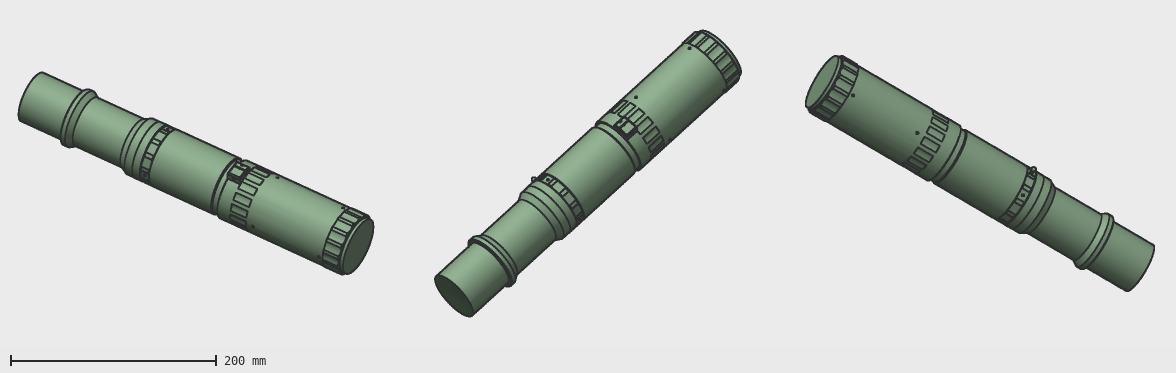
import cadquery as cq
import math

length = 369.5
tube_radius = 26.05
flange_radius = 30.0
shoulder_radius = 29.0
body_radius = 30.1
collar_radius = 29.0
barrel_radius = 31.1
end_ring_radius = 31.8

flange_start = 49.5
flange_taper_start = 55.0
flange_end = 61.5
flange_chamfer = 0.7
body_taper_start = 115.3
body_chamfer_start = 121.0
body_start = 122.3
body_step = 131.0
body_end = 220.5
collar_start = 221.5
clamp_start = 228.3
clamp_end = 242.7
grip_end = 260.5
end_ring_start = 347.5
end_ring_end = 365.7
end_ring_chamfer = 1.5

dish_radius = 23.3
dish_depth = 0.7

adjust_start = 139.5
adjust_end = 150.5
v_groove_width = 1.0
v_groove_depth = 0.45
pad_count = 12
pad_width = 11.0
pad_distance = 29.0

lever_x = (adjust_start + adjust_end) / 2
ball_radius = 2.4
lever_reach = 35.5
stem_radius = 1.5

flute_count = 16
grip_flute_width = 7.8
grip_flute_floor = 30.3
grip_flute_angle = 1.0
end_flute_width = 9.05
end_flute_floor = 30.5
end_flute_angle = 14.0

screw_hole_stations = [(lever_x, pad_distance), (268.5, barrel_radius), (343.0, barrel_radius)]
screw_hole_count = 3
screw_hole_diameter = 2.2
screw_hole_depth = 2.2

lug_top = 37.3
lug_front = -12.0
lug_back = 6.0
lug_chamfer = 1.0
lug_front_chamfer = 2.0
slit_width = 1.0
clamp_screw_height = 33.2
clamp_screw_diameter = 3.5
clamp_screw_head_diameter = 6.5
clamp_screw_head_seat = 3.7
head_access_length = 18.5

cut_margin = 3.7


def turned_body():
    profile = [
        (dish_depth, 0),
        (0, dish_radius),
        (0, tube_radius),
        (flange_start, tube_radius),
        (flange_start, flange_radius - flange_chamfer),
        (flange_start + flange_chamfer, flange_radius),
        (flange_taper_start, flange_radius),
        (flange_end, tube_radius),
        (body_taper_start, tube_radius),
        (body_chamfer_start, shoulder_radius),
        (body_start, flange_radius),
        (body_step, flange_radius),
        (body_step, body_radius),
        (body_end, body_radius),
        (collar_start, collar_radius),
        (clamp_start, collar_radius),
        (clamp_start, barrel_radius),
        (end_ring_start, barrel_radius),
        (end_ring_start, end_ring_radius),
        (end_ring_end - end_ring_chamfer, end_ring_radius),
        (end_ring_end, end_ring_radius - end_ring_chamfer),
        (end_ring_end, collar_radius),
        (length, collar_radius),
        (length, 0),
    ]
    return cq.Workplane("XY").polyline(profile).close().revolve(360, (0, 0, 0), (1, 0, 0))


def repeat_about_axis(tool, count, first_angle=0.0):
    """Turn copies of a tool about X; positive angles go from +Z toward -Y."""
    copies = cq.Workplane("XY")
    for i in range(count):
        angle = first_angle + i * 360 / count
        copies.add(tool.rotate((0, 0, 0), (1, 0, 0), angle).vals())
    return copies.combine(glue=False)


def v_groove(start):
    end = start + v_groove_width
    middle = (start + end) / 2
    profile = [
        (start, body_radius),
        (middle, body_radius - v_groove_depth),
        (end, body_radius),
        (end, body_radius + cut_margin),
        (start, body_radius + cut_margin),
    ]
    return cq.Workplane("XY").polyline(profile).close().revolve(360, (0, 0, 0), (1, 0, 0))


def adjusting_pads():
    start = adjust_start + v_groove_width / 2
    end = adjust_end - v_groove_width / 2
    cutter = cq.Workplane("XY", origin=(start, 0, pad_distance)).box(
        end - start, pad_width, cut_margin, centered=(False, True, False)
    )
    return repeat_about_axis(cutter, pad_count)


def flutes(start, end, radius, width, floor, first_angle):
    """Concave cylindrical flutes whose rims are `width` apart on a surface of the given radius."""
    rim_height = math.sqrt(radius**2 - (width / 2) ** 2)
    sag = rim_height - floor
    flute_radius = (width / 2) ** 2 / (2 * sag) + sag / 2
    flute = (
        cq.Workplane("YZ", origin=(start, 0, floor + flute_radius))
        .circle(flute_radius)
        .extrude(end - start)
    )
    return repeat_about_axis(flute, flute_count, first_angle)


def screw_holes(x, surface_radius):
    hole = (
        cq.Workplane("XY", origin=(x, 0, surface_radius - screw_hole_depth))
        .circle(screw_hole_diameter / 2)
        .extrude(screw_hole_depth + cut_margin)
    )
    return repeat_about_axis(hole, screw_hole_count, 90)


def lever():
    ball_y = lever_reach - ball_radius
    stem = (
        cq.Workplane("XZ", origin=(lever_x, ball_y, 0))
        .circle(stem_radius)
        .extrude(ball_y - tube_radius)
    )
    ball = cq.Workplane("XY", origin=(lever_x, ball_y, 0)).sphere(ball_radius)
    return stem.union(ball)


def clamp_lug():
    block = (
        cq.Workplane("XY", origin=(clamp_start, lug_front, tube_radius))
        .box(clamp_end - clamp_start, lug_back - lug_front, lug_top - tube_radius, centered=False)
    )
    block = block.faces(">Z").edges("<Y").chamfer(lug_front_chamfer, lug_chamfer)
    return block.faces(">Z").edges(">Y or <X or >X").chamfer(lug_chamfer)


def clamp_slit():
    return cq.Workplane("XY", origin=(clamp_start, -slit_width, collar_radius)).box(
        clamp_end - clamp_start, slit_width, lug_top, centered=False
    )


def clamp_screw_hole():
    middle = (clamp_start + clamp_end) / 2
    shank = (
        cq.Workplane("XZ", origin=(middle, lug_back, clamp_screw_height))
        .circle(clamp_screw_diameter / 2)
        .extrude(lug_back - lug_front + cut_margin)
    )
    head = (
        cq.Workplane("XZ", origin=(middle, clamp_screw_head_seat, clamp_screw_height))
        .circle(clamp_screw_head_diameter / 2)
        .extrude(-head_access_length)
    )
    return shank.union(head)


result = turned_body().cut(v_groove(adjust_start)).cut(v_groove(adjust_end - v_groove_width))

result = result.cut(adjusting_pads())
result = result.cut(
    flutes(clamp_end, grip_end, barrel_radius, grip_flute_width, grip_flute_floor, grip_flute_angle)
)
result = result.cut(
    flutes(end_ring_start, end_ring_end, end_ring_radius, end_flute_width, end_flute_floor, end_flute_angle)
)
for station, surface_radius in screw_hole_stations:
    result = result.cut(screw_holes(station, surface_radius))
result = result.union(lever())
result = result.union(clamp_lug()).cut(clamp_slit()).cut(clamp_screw_hole())